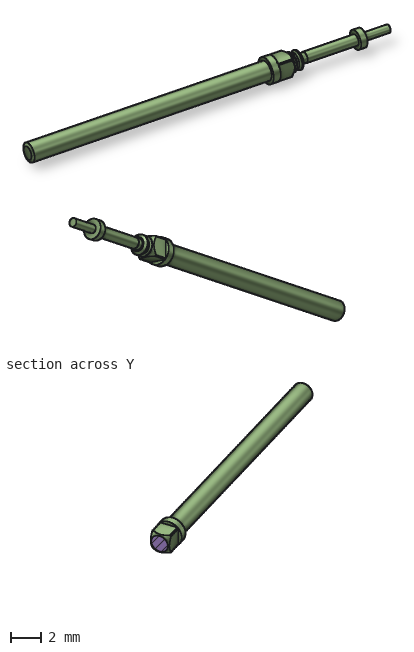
import cadquery as cq

TOTAL_LENGTH = 28.0
FLANGE_FRONT = 8.95
FLANGE_THICKNESS = 0.55
FLANGE_DIA = 1.9

BARREL_DIA = 1.4
END_FACE_DIA = 0.95
END_CHAMFER_LENGTH = 0.1

TIP_DIA = 0.6
COLLAR_FRONT = 2.05
COLLAR_THICKNESS = 0.5
COLLAR_DIA = BARREL_DIA
STEM_DIA = 0.8
STEM_END = 6.5

NECK_DIA = 0.76
NECK_END = 6.88
LIP_DIA = 0.96
RIM_DIA = BARREL_DIA
RIM_FRONT = 7.02
RIM_BACK = 7.12
GROOVE_DIA = 1.1
GROOVE_FRONT = 7.25
GROOVE_BACK = 7.4
RIDGE_STATION = 7.53
NOTCH_STATION = 7.62
NOTCH_DIA = 1.2

SQUARE_FRONT = 7.68
SQUARE_WIDTH = BARREL_DIA
SQUARE_FRONT_DIA = 1.36
SQUARE_CORNER_DIA = 1.88
SQUARE_CHAMFER_LENGTH = 0.24


def revolve_profile(stations):
    """Solid of revolution about Y from (station, diameter) pairs, tip end first."""
    first = stations[0][0]
    last = stations[-1][0]
    outline = [(diameter / 2, FLANGE_FRONT - station) for station, diameter in stations]
    on_axis = [(0, FLANGE_FRONT - last), (0, FLANGE_FRONT - first)]
    return cq.Workplane("XY").polyline(outline + on_axis).close().revolve(360, (0, 0), (0, 1))


def make_plunger():
    """Thin tip, round collar and stem."""
    collar_back = COLLAR_FRONT + COLLAR_THICKNESS
    return revolve_profile([
        (0, TIP_DIA),
        (COLLAR_FRONT, TIP_DIA),
        (COLLAR_FRONT, COLLAR_DIA),
        (collar_back, COLLAR_DIA),
        (collar_back, STEM_DIA),
        (STEM_END, STEM_DIA),
    ])


def make_neck():
    """Neck, rim, groove and ridge ahead of the square."""
    return revolve_profile([
        (STEM_END, NECK_DIA),
        (NECK_END, NECK_DIA),
        (NECK_END, LIP_DIA),
        (RIM_FRONT, RIM_DIA),
        (RIM_BACK, RIM_DIA),
        (GROOVE_FRONT, GROOVE_DIA),
        (GROOVE_BACK, GROOVE_DIA),
        (RIDGE_STATION, RIM_DIA),
        (NOTCH_STATION, NOTCH_DIA),
        (SQUARE_FRONT, SQUARE_FRONT_DIA),
    ])


def make_square():
    """Square section whose corners are turned round and chamfered at the front."""
    blank = revolve_profile([
        (SQUARE_FRONT, SQUARE_FRONT_DIA),
        (SQUARE_FRONT + SQUARE_CHAMFER_LENGTH, SQUARE_CORNER_DIA),
        (FLANGE_FRONT, SQUARE_CORNER_DIA),
    ])
    length = FLANGE_FRONT - SQUARE_FRONT
    bar = cq.Workplane("XY").box(SQUARE_WIDTH, length, SQUARE_WIDTH, centered=(True, False, True))
    return blank.intersect(bar)


def make_barrel():
    """Stop flange and long barrel with a chamfered rear end."""
    flange_back = FLANGE_FRONT + FLANGE_THICKNESS
    return revolve_profile([
        (FLANGE_FRONT, FLANGE_DIA),
        (flange_back, FLANGE_DIA),
        (flange_back, BARREL_DIA),
        (TOTAL_LENGTH - END_CHAMFER_LENGTH, BARREL_DIA),
        (TOTAL_LENGTH, END_FACE_DIA),
    ])


result = make_plunger().union(make_neck()).union(make_square()).union(make_barrel())